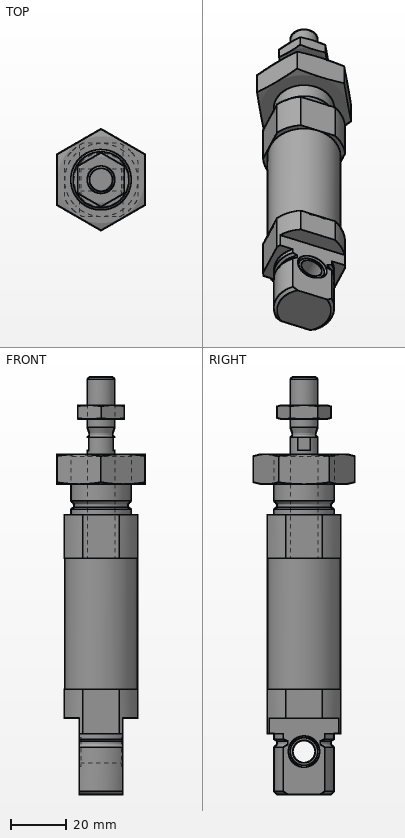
import cadquery as cq
import math

LENGTH = 151.5

GROOVE_FILLET = 0.6

ROD_D = 10.0
ROD_TIP_D = 8.3
RELIEF_D = 8.6
RELIEF_BOTTOM_Z = 129.5
RELIEF_WIDTH = 3.6
RELIEF_CONE = 2.1
WRENCH_FLATS = 9.0
WRENCH_FLATS_BOTTOM_Z = 124.8

MOUNT_NUT_FLATS = 32.0
MOUNT_NUT_HEIGHT = 10.9
MOUNT_NUT_Z = 112.5
LOCK_NUT_FLATS = 17.0
LOCK_NUT_HEIGHT = 5.0
LOCK_NUT_Z = 136.2
NUT_FACE_RATIO = 0.985
NUT_CHAMFER_ANGLE = 15.0

TUBE_D = 26.5
HEAD_D = 29.8
HEAD_FLATS = 26.7
FRONT_HEAD_BOTTOM_Z = 85.7
FRONT_HEAD_TOP_Z = 101.5
REAR_HEAD_BOTTOM_Z = 22.1
REAR_HEAD_TOP_Z = 38.2

COLLAR_D = 22.0
FRONT_TIP_D = 20.3
FRONT_TIP_CHAMFER = (COLLAR_D - FRONT_TIP_D) / 2
COLLAR_TOP_Z = MOUNT_NUT_Z + MOUNT_NUT_HEIGHT
GROOVE_D = 19.7
GROOVE_OFFSET = 2.0
GROOVE_WIDTH = 3.0
GROOVE_HEAD_FLANK = 0.8

LUG_WIDTH = 15.9
LUG_SHOULDER_Z = 27.7
LUG_TIP_CHAMFER = 1.2
PIVOT_Z = 15.6
PIVOT_D = 8.0
PIVOT_SEAT_D = 10.0
PIVOT_MOUTH_D = 11.4


def cylinder(diameter, bottom_z, top_z):
    """Upright cylinder on the Z axis."""
    return cq.Workplane("XY").workplane(offset=bottom_z).circle(diameter / 2).extrude(top_z - bottom_z)


def revolved(profile):
    """Turn a closed list of (radius, z) points around the Z axis."""
    return cq.Workplane("XZ").polyline(profile).close().revolve(360, (0, 0, 0), (0, 1, 0))


def groove_cutter(root_d, rim_d, bottom_z, width, upper_flank):
    """Ring that cuts a groove with a 45 degree lower flank; upper_flank is the upper one's height."""
    depth = (rim_d - root_d) / 2
    top_z = bottom_z + width
    root_r = root_d / 2
    root_z = bottom_z + depth
    turn = math.radians(45)
    tangent = GROOVE_FILLET * math.tan(turn / 2)
    centre_r = root_r + GROOVE_FILLET
    centre_z = root_z + tangent
    return (
        cq.Workplane("XZ")
        .moveTo(rim_d / 2, bottom_z)
        .lineTo(rim_d, bottom_z)
        .lineTo(rim_d, top_z)
        .lineTo(rim_d / 2, top_z)
        .lineTo(root_r, top_z - upper_flank)
        .lineTo(root_r, centre_z)
        .threePointArc(
            (centre_r - GROOVE_FILLET * math.cos(turn / 2), centre_z - GROOVE_FILLET * math.sin(turn / 2)),
            (centre_r - GROOVE_FILLET * math.cos(turn), centre_z - GROOVE_FILLET * math.sin(turn)),
        )
        .close()
        .revolve(360, (0, 0, 0), (0, 1, 0))
    )


def cut_side_flats(body, flats, bottom_z, top_z, reach):
    """Cut the +X and -X sides of a body to two flats, between two heights."""
    for side in (-1, 1):
        waste = (
            cq.Workplane("XY")
            .box(reach, reach, top_z - bottom_z, centered=(True, True, False))
            .translate((side * (flats + reach) / 2, 0, bottom_z))
        )
        body = body.cut(waste)
    return body


def make_head(bottom_z, top_z):
    square = (
        cq.Workplane("XY")
        .workplane(offset=bottom_z)
        .rect(HEAD_FLATS, HEAD_FLATS)
        .extrude(top_z - bottom_z)
    )
    return cylinder(HEAD_D, bottom_z, top_z).intersect(square)


def make_collar(length, tip_chamfer):
    """Collar that rises from z = 0, where its chamfered tip is, to its head at z = length."""
    collar = cylinder(COLLAR_D, 0, length).faces("<Z").chamfer(tip_chamfer)
    groove_z = length - GROOVE_OFFSET - GROOVE_WIDTH
    return collar.cut(groove_cutter(GROOVE_D, COLLAR_D, groove_z, GROOVE_WIDTH, GROOVE_HEAD_FLANK))


def make_pivot_cutter():
    """Cross hole along X; each end has a stepped mouth with a 45 degree cone."""
    half_width = LUG_WIDTH / 2
    seat_x = half_width - (PIVOT_MOUTH_D - PIVOT_SEAT_D) / 2
    return (
        cq.Workplane("XY")
        .polyline([
            (-half_width, 0),
            (-half_width, PIVOT_MOUTH_D / 2),
            (-seat_x, PIVOT_SEAT_D / 2),
            (-seat_x, PIVOT_D / 2),
            (seat_x, PIVOT_D / 2),
            (seat_x, PIVOT_SEAT_D / 2),
            (half_width, PIVOT_MOUTH_D / 2),
            (half_width, 0),
        ])
        .close()
        .revolve(360, (0, 0, 0), (1, 0, 0))
        .translate((0, 0, PIVOT_Z))
    )


def make_housing():
    housing = cylinder(TUBE_D, REAR_HEAD_TOP_Z, FRONT_HEAD_BOTTOM_Z)
    housing = housing.union(make_head(FRONT_HEAD_BOTTOM_Z, FRONT_HEAD_TOP_Z))
    housing = housing.union(make_head(REAR_HEAD_BOTTOM_Z, REAR_HEAD_TOP_Z))
    front_collar = make_collar(COLLAR_TOP_Z - FRONT_HEAD_TOP_Z, FRONT_TIP_CHAMFER)
    housing = housing.union(front_collar.mirror("XY").translate((0, 0, COLLAR_TOP_Z)))
    housing = housing.union(make_collar(REAR_HEAD_BOTTOM_Z, LUG_TIP_CHAMFER))
    housing = cut_side_flats(housing, LUG_WIDTH, 0, LUG_SHOULDER_Z, HEAD_D)
    housing = housing.cut(make_pivot_cutter())
    rod_bore = cylinder(ROD_D, FRONT_HEAD_BOTTOM_Z, COLLAR_TOP_Z)
    return housing.cut(rod_bore)


def make_rod():
    rod = cylinder(ROD_D, FRONT_HEAD_BOTTOM_Z, LENGTH)
    rod = rod.faces(">Z").chamfer((ROD_D - ROD_TIP_D) / 2)
    rod = rod.cut(groove_cutter(RELIEF_D, ROD_D, RELIEF_BOTTOM_Z, RELIEF_WIDTH, RELIEF_CONE))
    return cut_side_flats(rod, WRENCH_FLATS, WRENCH_FLATS_BOTTOM_Z, RELIEF_BOTTOM_Z, ROD_D)


def make_nut(flats, height, bottom_z, bore_d):
    """Hexagon nut with two flats facing +X and -X and its corners chamfered at both ends."""
    corner_r = flats / 2 / math.cos(math.radians(30))
    face_r = flats * NUT_FACE_RATIO / 2
    drop = (corner_r - face_r) * math.tan(math.radians(NUT_CHAMFER_ANGLE))
    hexagon = cq.Workplane("XY").polygon(6, 2 * corner_r).extrude(height).rotate((0, 0, 0), (0, 0, 1), 30)
    envelope = revolved([
        (0, 0),
        (face_r, 0),
        (corner_r, drop),
        (corner_r, height - drop),
        (face_r, height),
        (0, height),
    ])
    nut = hexagon.intersect(envelope).cut(cylinder(bore_d, 0, height))
    return nut.translate((0, 0, bottom_z))


housing = make_housing()
rod = make_rod()
mount_nut = make_nut(MOUNT_NUT_FLATS, MOUNT_NUT_HEIGHT, MOUNT_NUT_Z, COLLAR_D)
lock_nut = make_nut(LOCK_NUT_FLATS, LOCK_NUT_HEIGHT, LOCK_NUT_Z, ROD_D)

result = cq.Compound.makeCompound([housing.val(), rod.val(), mount_nut.val(), lock_nut.val()])